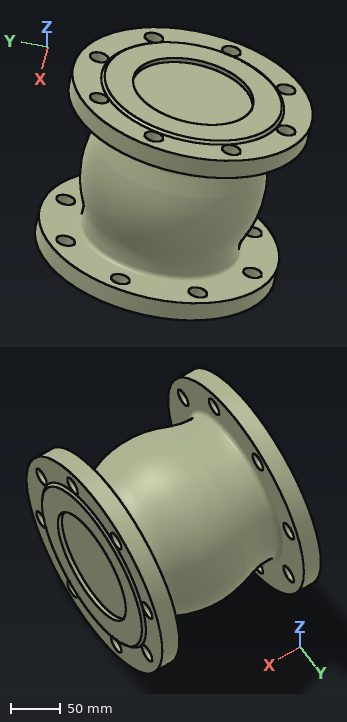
import cadquery as cq
import math

length = 200.0
flange_radius = 125.0
flange_thickness = 21.0
raised_face_height = 3.0
raised_face_base_radius = 95.0
recess_radius = 62.5
recess_depth = 5.0

bolt_count = 8
bolt_circle_radius = 105.0
bolt_hole_diameter = 19.0

neck_radius = 82.0
neck_fillet = 5.5
left_neck_end = -65.5
left_blend_end = -48.0
left_blend_rise = 2.8
bulge_start = -28.8
bulge_start_radius = 91.0
bulge_peak_x = 1.2
bulge_peak_radius = 95.2
bulge_end = 44.8
bulge_end_radius = 86.0
right_neck_end = 64.8

face_x = length / 2
flange_outer_x = face_x - raised_face_height
flange_inner_x = flange_outer_x - flange_thickness
raised_face_radius = raised_face_base_radius - raised_face_height
fillet_end_x = flange_inner_x - neck_fillet
fillet_top_radius = neck_radius + neck_fillet
fillet_mid_offset = neck_fillet * (1 - math.sqrt(0.5))
fillet_mid = (flange_inner_x - fillet_mid_offset, neck_radius + fillet_mid_offset)


def make_body():
    """Revolve the half outline, flanges included, about the X axis."""
    outline = (
        cq.Workplane("XY")
        .moveTo(-face_x, 0)
        .lineTo(-face_x, raised_face_radius)
        .lineTo(-flange_outer_x, raised_face_base_radius)
        .lineTo(-flange_outer_x, flange_radius)
        .lineTo(-flange_inner_x, flange_radius)
        .lineTo(-flange_inner_x, fillet_top_radius)
        .threePointArc((-fillet_mid[0], fillet_mid[1]), (-fillet_end_x, neck_radius))
        .lineTo(left_neck_end, neck_radius)
        .tangentArcPoint((left_blend_end, neck_radius + left_blend_rise), relative=False)
        .lineTo(bulge_start, bulge_start_radius)
        .threePointArc((bulge_peak_x, bulge_peak_radius), (bulge_end, bulge_end_radius))
        .tangentArcPoint((right_neck_end, neck_radius), relative=False)
        .lineTo(fillet_end_x, neck_radius)
        .threePointArc(fillet_mid, (flange_inner_x, fillet_top_radius))
        .lineTo(flange_inner_x, flange_radius)
        .lineTo(flange_outer_x, flange_radius)
        .lineTo(flange_outer_x, raised_face_base_radius)
        .lineTo(face_x, raised_face_radius)
        .lineTo(face_x, 0)
        .close()
    )
    return outline.revolve(360, (0, 0, 0), (1, 0, 0))


def make_recess(start_x):
    """Shallow round recess in the middle of an end face."""
    return cq.Workplane("YZ", origin=(start_x, 0, 0)).circle(recess_radius).extrude(recess_depth)


def make_bolt_holes(start_x):
    """Ring of holes through one flange, straddling the Y and Z axes."""
    half_pitch = 180 / bolt_count
    return (
        cq.Workplane("YZ", origin=(start_x, 0, 0))
        .polarArray(bolt_circle_radius, half_pitch, 360, bolt_count)
        .circle(bolt_hole_diameter / 2)
        .extrude(flange_thickness)
    )


result = make_body()
for recess_start in (-face_x, face_x - recess_depth):
    result = result.cut(make_recess(recess_start))
for flange_start in (-flange_outer_x, flange_inner_x):
    result = result.cut(make_bolt_holes(flange_start))